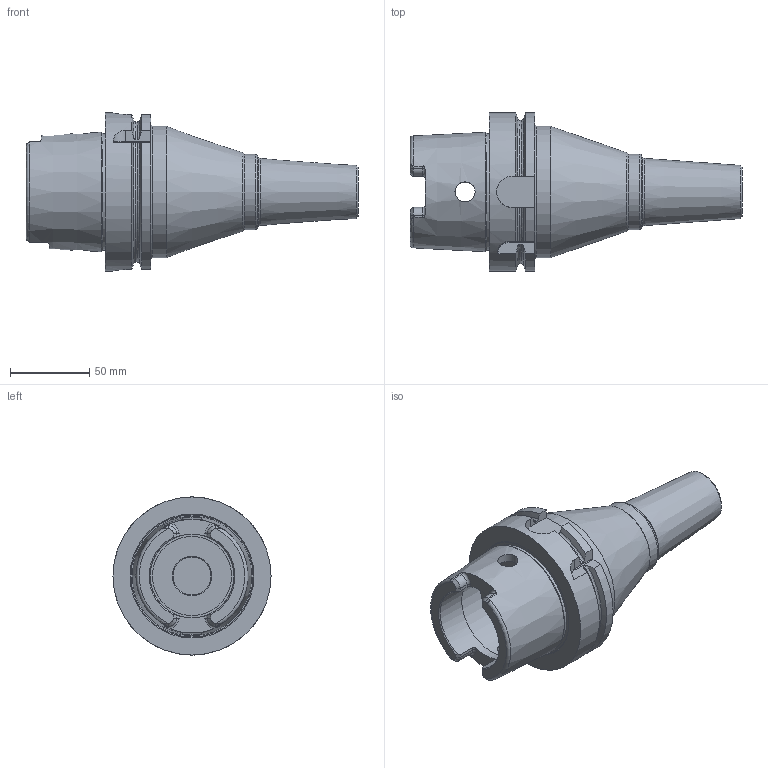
import cadquery as cq
import math

SHANK_LENGTH = 50.0
REACH = 160.0

TAPER_GAUGE_RADIUS = 37.75
TAPER_GAUGE_X = -2.4
TAPER_SLOPE = 0.05
SHANK_END_ROUNDING = 2.0
RELIEF_RADIUS = 36.8
RELIEF_START_X = -1.3
FACE_RECESS_RADIUS = 39.2
FACE_RECESS_DEPTH = 0.6

FLANGE_RADIUS = 50.0
FLANGE_LENGTH = 29.0
GROOVE_X = 20.0
GROOVE_FLOOR_RADIUS = 45.5
GROOVE_MOUTH_WIDTH = 6.2
GROOVE_FLOOR_WIDTH = 3.2
GROOVE_FLOOR_FILLET = 1.5

COLLAR_RADIUS = 41.5
COLLAR_START_X = 30.0
COLLAR_END_X = 39.0
NECK_RADIUS = 24.0
NECK_START_X = 88.0
NECK_START_BEVEL = 0.8
NECK_END_X = 95.0
SHOULDER_BLEND_RADIUS = 1.5
SHOULDER_WALL_LENGTH = 0.7
SHOULDER_WALL_ANGLE = 60.0
TIP_RADIUS = 16.8
TIP_BEVEL = 1.0

BORE_RADIUS = 26.5
BORE_BEVEL = 0.7
CLAMP_CAVITY_RADIUS = 32.0
CLAMP_CAVITY_START_X = -30.0
CLAMP_CAVITY_END_X = -8.5
FLOOR_RECESS_RADIUS = 25.0
BORE_FLOOR_X = -7.5
CENTRE_HOLE_RADIUS = 12.0
CENTRE_HOLE_DEPTH = 20.0
CENTRE_HOLE_BEVEL = 0.5

CROSS_HOLE_DIAMETER = 12.7
CROSS_HOLE_X = -15.2

NOTCH_HALF_WIDTH = 9.8
NOTCH_FLARE_RADIUS = 5.2
NOTCH_FLARE_TOP_Z = 31.8
UPPER_NOTCH_DEPTH = 9.7
LOWER_NOTCH_DEPTH = 14.6
NOTCH_MOUTH_BEVEL = 2.0
NOTCH_ROOT_FILLET = 1.6

KEYWAY_WIDTH = 19.8
KEYWAY_START_X = 4.8
KEYWAY_FLOOR_Z = 43.0
ORIENTATION_WALL_OFFSET = 31.3
ORIENTATION_FLOOR_FILLET = 0.6
ORIENTATION_START_X = 5.0
ORIENTATION_CORNER_RADIUS = 8.0

OVERSHOOT = 1.0


def taper_radius(x):
    return TAPER_GAUGE_RADIUS + TAPER_SLOPE * (x - TAPER_GAUGE_X)


def revolve_about_x(profile):
    return profile.close().revolve(360, (0, 0, 0), (1, 0, 0))


def make_body():
    rounded_x = -SHANK_LENGTH + SHANK_END_ROUNDING
    rounded_radius = taper_radius(rounded_x)
    rounding_leg = SHANK_END_ROUNDING * math.sqrt(0.5)
    arc_middle = (rounded_x - rounding_leg, rounded_radius - SHANK_END_ROUNDING + rounding_leg)
    cone_end_x = NECK_START_X - NECK_START_BEVEL

    wall_angle = math.radians(SHOULDER_WALL_ANGLE)
    blend_length = SHOULDER_BLEND_RADIUS * math.sin(wall_angle)
    blend_drop = SHOULDER_BLEND_RADIUS * (1 - math.cos(wall_angle))
    wall_start_x = NECK_END_X + blend_length
    wall_start_radius = NECK_RADIUS - blend_drop
    wall_end_x = wall_start_x + SHOULDER_WALL_LENGTH
    wall_end_radius = wall_start_radius - SHOULDER_WALL_LENGTH * math.tan(wall_angle)

    profile = (
        cq.Workplane("XY")
        .moveTo(-SHANK_LENGTH, 0)
        .lineTo(-SHANK_LENGTH, rounded_radius - SHANK_END_ROUNDING)
        .threePointArc(arc_middle, (rounded_x, rounded_radius))
        .lineTo(TAPER_GAUGE_X, TAPER_GAUGE_RADIUS)
        .lineTo(RELIEF_START_X, RELIEF_RADIUS)
        .lineTo(FACE_RECESS_DEPTH, RELIEF_RADIUS)
        .lineTo(FACE_RECESS_DEPTH, FACE_RECESS_RADIUS - FACE_RECESS_DEPTH)
        .lineTo(0, FACE_RECESS_RADIUS)
        .lineTo(0, FLANGE_RADIUS)
        .lineTo(FLANGE_LENGTH, FLANGE_RADIUS)
        .lineTo(FLANGE_LENGTH, COLLAR_RADIUS + COLLAR_START_X - FLANGE_LENGTH)
        .lineTo(COLLAR_START_X, COLLAR_RADIUS)
        .lineTo(COLLAR_END_X, COLLAR_RADIUS)
        .lineTo(cone_end_x, NECK_RADIUS + NECK_START_BEVEL)
        .lineTo(NECK_START_X, NECK_RADIUS)
        .lineTo(NECK_END_X, NECK_RADIUS)
        .radiusArc((wall_start_x, wall_start_radius), SHOULDER_BLEND_RADIUS)
        .lineTo(wall_end_x, wall_end_radius)
        .radiusArc((wall_end_x + blend_length, wall_end_radius - blend_drop), -SHOULDER_BLEND_RADIUS)
        .lineTo(REACH - TIP_BEVEL, TIP_RADIUS)
        .lineTo(REACH, TIP_RADIUS - TIP_BEVEL)
        .lineTo(REACH, 0)
    )
    return revolve_about_x(profile)


def make_gripper_groove():
    half_mouth = GROOVE_MOUTH_WIDTH / 2
    half_floor = GROOVE_FLOOR_WIDTH / 2
    corners = [
        (GROOVE_X - half_mouth, FLANGE_RADIUS),
        (GROOVE_X - half_floor, GROOVE_FLOOR_RADIUS),
        (GROOVE_X + half_floor, GROOVE_FLOOR_RADIUS),
        (GROOVE_X + half_mouth, FLANGE_RADIUS),
    ]
    ring = revolve_about_x(cq.Workplane("XY").polyline(corners))
    return ring.edges(cq.selectors.RadiusNthSelector(0)).fillet(GROOVE_FLOOR_FILLET)


def make_bore():
    """Bore that widens behind a clamping shoulder, with a recess and a blind centre hole in its floor."""
    profile = (
        cq.Workplane("XY")
        .moveTo(-SHANK_LENGTH, 0)
        .lineTo(-SHANK_LENGTH, BORE_RADIUS + BORE_BEVEL)
        .lineTo(-SHANK_LENGTH + BORE_BEVEL, BORE_RADIUS)
        .lineTo(CLAMP_CAVITY_START_X, BORE_RADIUS)
        .lineTo(CLAMP_CAVITY_START_X, CLAMP_CAVITY_RADIUS)
        .lineTo(CLAMP_CAVITY_END_X, CLAMP_CAVITY_RADIUS)
        .lineTo(CLAMP_CAVITY_END_X, FLOOR_RECESS_RADIUS)
        .lineTo(BORE_FLOOR_X, FLOOR_RECESS_RADIUS)
        .lineTo(BORE_FLOOR_X, CENTRE_HOLE_RADIUS + CENTRE_HOLE_BEVEL)
        .lineTo(BORE_FLOOR_X + CENTRE_HOLE_BEVEL, CENTRE_HOLE_RADIUS)
        .lineTo(BORE_FLOOR_X + CENTRE_HOLE_DEPTH, CENTRE_HOLE_RADIUS)
        .lineTo(BORE_FLOOR_X + CENTRE_HOLE_DEPTH, 0)
    )
    return revolve_about_x(profile)


def make_cross_hole():
    return (
        cq.Workplane("XY")
        .center(CROSS_HOLE_X, 0)
        .circle(CROSS_HOLE_DIAMETER / 2)
        .extrude(TAPER_GAUGE_RADIUS + OVERSHOOT, both=True)
    )


def notch_section(start_x, spread):
    """Flared notch outline pointing along +Z; spread moves its walls outwards into the shank."""
    half_width = NOTCH_HALF_WIDTH + spread
    flare = NOTCH_FLARE_RADIUS - spread
    flare_z = NOTCH_FLARE_TOP_Z - spread
    outer_y = half_width + flare
    top_z = TAPER_GAUGE_RADIUS + OVERSHOOT
    return (
        cq.Workplane("YZ", origin=(start_x, 0, 0))
        .moveTo(-half_width, 0)
        .lineTo(half_width, 0)
        .lineTo(half_width, flare_z - flare)
        .radiusArc((outer_y, flare_z), flare)
        .lineTo(outer_y + flare, flare_z)
        .lineTo(outer_y + flare, top_z)
        .lineTo(-outer_y - flare, top_z)
        .lineTo(-outer_y - flare, flare_z)
        .lineTo(-outer_y, flare_z)
        .radiusArc((-half_width, flare_z - flare), flare)
        .close()
    )


def make_driving_notch(depth):
    """Notch with a bevelled mouth and filleted root, opening towards +Z."""
    notch = notch_section(-SHANK_LENGTH, 0).extrude(depth)
    notch = notch.faces(">X").edges().fillet(NOTCH_ROOT_FILLET)
    wide = notch_section(-SHANK_LENGTH, NOTCH_MOUTH_BEVEL).wires().val()
    narrow = notch_section(-SHANK_LENGTH + NOTCH_MOUTH_BEVEL, 0).wires().val()
    mouth = cq.Workplane(cq.Solid.makeLoft([wide, narrow], True))
    return notch.union(mouth)


def make_keyway():
    """Flat-bottomed, round-ended driving keyway at the +Z side, open towards the nose."""
    end_radius = KEYWAY_WIDTH / 2
    end_centre_x = KEYWAY_START_X + end_radius
    return (
        cq.Workplane("XY", origin=(0, 0, KEYWAY_FLOOR_Z))
        .moveTo(FLANGE_LENGTH, -end_radius)
        .lineTo(end_centre_x, -end_radius)
        .threePointArc((KEYWAY_START_X, 0), (end_centre_x, end_radius))
        .lineTo(FLANGE_LENGTH, end_radius)
        .close()
        .extrude(FLANGE_RADIUS - KEYWAY_FLOOR_Z)
    )


def make_orientation_notch():
    """Corner notch at 45 degrees between -Y and +Z, open towards the nose."""
    length = FLANGE_LENGTH + OVERSHOOT - ORIENTATION_START_X
    size = FLANGE_RADIUS - ORIENTATION_WALL_OFFSET
    return (
        cq.Workplane("XY")
        .box(length, size, size, centered=False)
        .translate((ORIENTATION_START_X, -FLANGE_RADIUS, ORIENTATION_WALL_OFFSET))
        .edges("|Z and <X and >Y")
        .fillet(ORIENTATION_CORNER_RADIUS)
        .faces("<Z")
        .edges()
        .fillet(ORIENTATION_FLOOR_FILLET)
    )


def half_turn(solid):
    return solid.rotate((0, 0, 0), (1, 0, 0), 180)


cutters = [
    make_gripper_groove(),
    make_bore(),
    make_cross_hole(),
    make_driving_notch(UPPER_NOTCH_DEPTH),
    half_turn(make_driving_notch(LOWER_NOTCH_DEPTH)),
    make_keyway(),
    half_turn(make_keyway()),
    make_orientation_notch(),
]
result = make_body()
for cutter in cutters:
    result = result.cut(cutter)